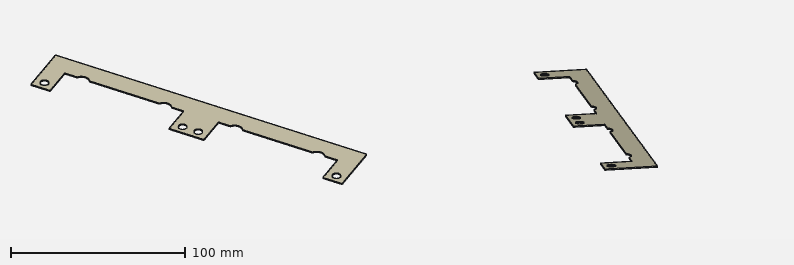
import cadquery as cq

length = 201.1
depth = 30.8
thickness = 0.8

spine_width = 12.5
end_leg_width = 12.5
centre_leg_width = 22.5
leg_length = depth - spine_width

hole_diameter = 5.0
hole_height = 5.0
inner_hole_x = 5.0
outer_hole_x = length / 2 - end_leg_width / 2

relief_width = 8.0
relief_depth = 2.2
inner_relief_x = 23.0
outer_relief_x = 76.0


def mirrored(*offsets):
    """Return the offsets on both sides of the centre line, from left to right."""
    return sorted([-x for x in offsets] + list(offsets))


def make_outline():
    """Draw the E-shaped outline, with an arc in the spine edge at each relief."""
    end_x = length / 2
    end_leg_x = end_x - end_leg_width
    centre_leg_x = centre_leg_width / 2
    outline = cq.Workplane("XY").moveTo(-end_x, depth).lineTo(-end_x, 0)
    bays = [(-end_leg_x, -centre_leg_x), (centre_leg_x, end_leg_x)]
    reliefs = mirrored(inner_relief_x, outer_relief_x)
    for left, right in bays:
        outline = outline.lineTo(left, 0).lineTo(left, leg_length)
        for x in reliefs:
            if left < x < right:
                outline = outline.lineTo(x - relief_width / 2, leg_length).threePointArc(
                    (x, leg_length + relief_depth), (x + relief_width / 2, leg_length)
                )
        outline = outline.lineTo(right, leg_length).lineTo(right, 0)
    return outline.lineTo(end_x, 0).lineTo(end_x, depth).close()


def make_holes():
    """Cylinders for the holes through the legs."""
    centres = [(x, hole_height) for x in mirrored(inner_hole_x, outer_hole_x)]
    return cq.Workplane("XY").pushPoints(centres).circle(hole_diameter / 2).extrude(thickness)


result = make_outline().extrude(thickness).cut(make_holes())